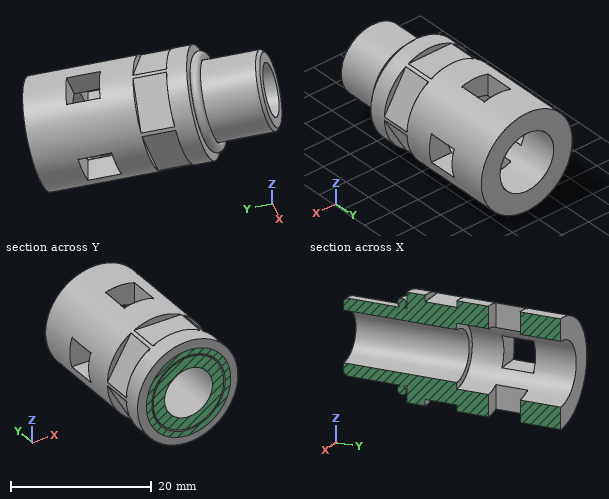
import cadquery as cq
import math

total_length = 34.5
body_diameter = 17.0
body_length = 24.5
spigot_diameter = 12.0
bore_diameter = 8.0
rear_bore_diameter = 10.0
spigot_chamfer = 0.5

across_flats = 15.0
flats_start = 16.5
flats_length = 5.0

window_length = 5.0
window_width = 4.9
window_start = 6.5

ring_section = 1.5
ring_outer_diameter = 14.85

rear_y = total_length / 2
front_y = -rear_y
shoulder_y = rear_y - body_length


def cylinder(diameter, start_y, length):
    """Cylinder on the Y axis running from start_y toward -Y."""
    return cq.Workplane("XZ", origin=(0, start_y, 0)).circle(diameter / 2).extrude(length)


def wrench_flats_cut():
    """Ring of material outside the hexagon, with vertices on the X axis."""
    flats_y = rear_y - flats_start
    across_corners = across_flats / math.cos(math.radians(30))
    hexagon = (
        cq.Workplane("XZ", origin=(0, flats_y, 0))
        .polygon(6, across_corners)
        .extrude(flats_length)
    )
    return cylinder(2 * body_diameter, flats_y, flats_length).cut(hexagon)


def cross_windows():
    """Two rectangular passages through the body, along X and along Z."""
    center_y = rear_y - window_start - window_length / 2
    along_x = cq.Workplane("XY").box(2 * body_diameter, window_length, window_width)
    along_z = cq.Workplane("XY").box(window_width, window_length, 2 * body_diameter)
    return along_x.union(along_z).translate((0, center_y, 0))


def sealing_ring():
    """O-ring touching the shoulder and surrounding the spigot."""
    center_radius = (ring_outer_diameter - ring_section) / 2
    center_y = shoulder_y - ring_section / 2
    return (
        cq.Workplane("XY")
        .center(center_radius, center_y)
        .circle(ring_section / 2)
        .revolve(360, (-center_radius, 0), (-center_radius, 1))
    )


body = cylinder(body_diameter, rear_y, body_length).cut(wrench_flats_cut())
spigot = (
    cylinder(spigot_diameter, shoulder_y, shoulder_y - front_y)
    .faces("<Y")
    .chamfer(spigot_chamfer)
)

bore = cylinder(bore_diameter, rear_y, total_length)
rear_bore = cylinder(rear_bore_diameter, rear_y, flats_start)
passages = bore.union(rear_bore).union(cross_windows())

result = body.union(spigot).union(sealing_ring()).cut(passages)